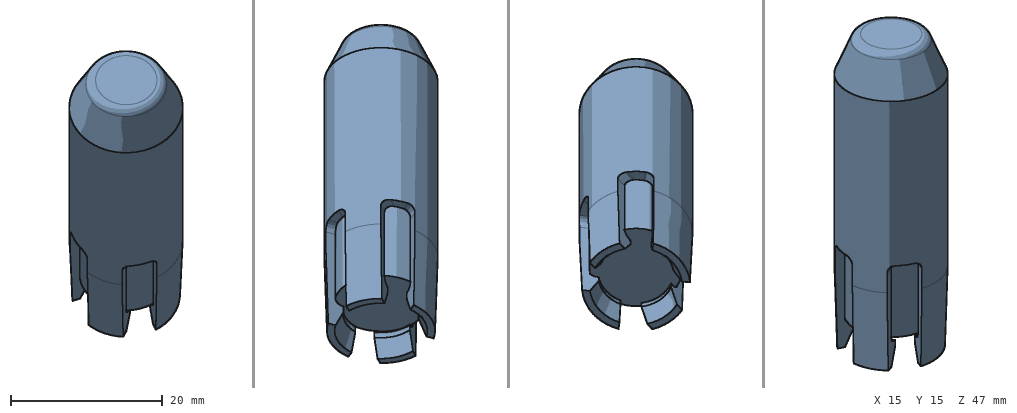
import cadquery as cq
import math

height = 47.0
outer_radius = 7.495
shoulder_z = 41.0
nose_radius = 5.0
nose_rounding = 1.4
taper_z = 12.05
bottom_radius = 7.15

core_radius = 6.15
core_bottom_z = 4.5
core_top_z = shoulder_z
barb_radius = 5.0
undercut_radius = 1.05
barb_land_bottom_z = 2.6
barb_ledge_z = core_bottom_z - undercut_radius
mouth_radius = 6.1

slot_top_z = 16.07
slot_corner_radius = 1.15
finger_half_width = 2.5
diagonal_angle = 45.0
diagonal_offset = 1.45
slot_reach = 2 * outer_radius


def make_core():
    return (
        cq.Workplane("XY", origin=(0, 0, core_bottom_z))
        .circle(core_radius)
        .extrude(core_top_z - core_bottom_z)
    )


def make_sleeve_blank():
    """Revolve the outer wall, closed nose, core bore and barbs."""
    arc_center_r = core_radius - undercut_radius
    arc_step = undercut_radius * math.sqrt(0.5)
    arc_middle = (arc_center_r + arc_step, core_bottom_z - arc_step)
    blank = (
        cq.Workplane("XZ")
        .moveTo(0, height)
        .lineTo(nose_radius, height)
        .lineTo(outer_radius, shoulder_z)
        .lineTo(outer_radius, taper_z)
        .lineTo(bottom_radius, 0)
        .lineTo(mouth_radius, 0)
        .lineTo(barb_radius, barb_land_bottom_z)
        .lineTo(barb_radius, barb_ledge_z)
        .lineTo(arc_center_r, barb_ledge_z)
        .threePointArc(arc_middle, (core_radius, core_bottom_z))
        .lineTo(core_radius, core_top_z)
        .lineTo(0, core_top_z)
        .close()
        .revolve(360, (0, 0, 0), (0, 1, 0))
    )
    return blank.faces(">Z").edges().fillet(nose_rounding)


def make_slot():
    """Wedge-shaped slot in the +X +Y quadrant, with both top corners rounded."""
    straight_side = (
        cq.Workplane("XY")
        .box(slot_reach, slot_reach, slot_top_z, centered=False)
        .translate((finger_half_width, 0, 0))
        .edges("<X and >Z")
        .fillet(slot_corner_radius)
    )
    diagonal_side = (
        cq.Workplane("XY")
        .box(slot_reach, slot_reach, slot_top_z, centered=False)
        .translate((0, -diagonal_offset, 0))
        .edges("<Y and >Z")
        .fillet(slot_corner_radius)
        .rotate((0, 0, 0), (0, 0, 1), diagonal_angle)
    )
    return straight_side.intersect(diagonal_side)


def make_sleeve():
    sleeve = make_sleeve_blank()
    right_slot = make_slot()
    left_slot = right_slot.mirror("YZ")
    for slot in (right_slot, left_slot):
        sleeve = sleeve.cut(slot).cut(slot.mirror("XZ"))
    return sleeve


sleeve = make_sleeve()
core = make_core()
result = cq.Compound.makeCompound([sleeve.solids().val(), core.val()])